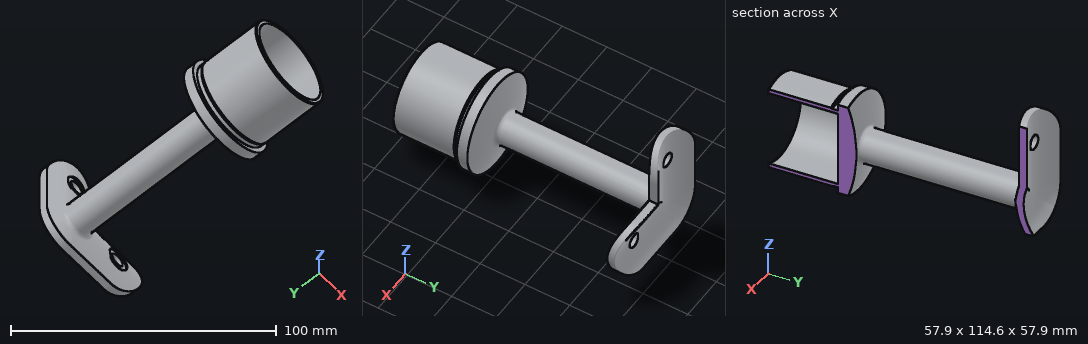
import cadquery as cq
import math

LENGTH = 114.6

STEM_RADIUS = 7.0
STEM_FILLET = 1.7
FLANGE_RADIUS = 21.2
FLANGE_RIM_START = 80.0
FLANGE_RIM_END = 84.7
CROWN_RISE = 3.5
CROWN_BULGE = 0.6
CROWN_FILLET = 1.7
PLUG_RADIUS = 19.1
PLUG_CHAMFER = 0.3
GROOVE_RADIUS = 18.9
GROOVE_END = 86.8
PLUG_START = 87.5
BORE_RADIUS = 17.3
BORE_FLOOR = FLANGE_RIM_END

SELECTION_MARGIN = 0.1

ARM_HALF_WIDTH = 13.2
ARM_REACH = 36.7
ARM_END_CENTER = ARM_REACH - ARM_HALF_WIDTH
HOLE_OFFSET = 23.3
TUBE_RADIUS = FLANGE_RADIUS
SADDLE_THICKNESS = 3.4
BACK_FILLET = 0.3
BACK_MARGIN = 2.3
TUBE_AXIS_Y = math.sqrt(
    (TUBE_RADIUS + BACK_FILLET)**2 - (ARM_HALF_WIDTH - BACK_FILLET)**2
) - BACK_FILLET
SADDLE_RADIUS = TUBE_RADIUS + SADDLE_THICKNESS
SADDLE_CROWN_Y = TUBE_AXIS_Y - SADDLE_RADIUS
HOLE_RADIUS = 3.0
SPOTFACE_RADIUS = 4.9
SPOTFACE_DEPTH = 0.6

ARM_DIRECTIONS = [(1, 0), (0, 1)]


def rod(radius, x, z, y_start, y_end):
    """Cylinder along Y from y_start towards the lower y_end."""
    height = y_start - y_end
    return cq.Workplane(cq.Solid.makeCylinder(
        radius, height, cq.Vector(x, y_start, z), cq.Vector(0, -1, 0)))


def elbow(radius):
    """Two perpendicular round bars joined by a ball at the corner."""
    corner = cq.Vector(0, TUBE_AXIS_Y, 0)
    body = cq.Workplane("XY").sphere(radius).translate(corner.toTuple())
    for x, z in ARM_DIRECTIONS:
        bar = cq.Solid.makeCylinder(radius, 2 * ARM_REACH, corner, cq.Vector(x, 0, z))
        body = body.union(cq.Workplane(bar))
    return body


def saddle_outline():
    """L-shaped prism with round ends, running along Y."""
    outline = rod(ARM_HALF_WIDTH, 0, 0, BACK_MARGIN, -LENGTH)
    for x, z in ARM_DIRECTIONS:
        end_x = x * ARM_END_CENTER
        end_z = z * ARM_END_CENTER
        arm = (
            cq.Workplane("XZ", origin=(0, BACK_MARGIN, 0))
            .center(end_x / 2, end_z / 2)
            .rect(end_x or 2 * ARM_HALF_WIDTH, end_z or 2 * ARM_HALF_WIDTH)
            .extrude(LENGTH + BACK_MARGIN)
        )
        outline = outline.union(arm).union(rod(ARM_HALF_WIDTH, end_x, end_z, BACK_MARGIN, -LENGTH))
    return outline


def cut_screw_holes(body):
    """Screw hole with a shallow spotface near the end of each arm."""
    spotface_y = SADDLE_CROWN_Y + SPOTFACE_DEPTH
    for x, z in ARM_DIRECTIONS:
        hole_x = x * HOLE_OFFSET
        hole_z = z * HOLE_OFFSET
        body = body.cut(rod(HOLE_RADIUS, hole_x, hole_z, BACK_MARGIN, SADDLE_CROWN_Y), clean=False)
        body = body.cut(rod(SPOTFACE_RADIUS, hole_x, hole_z, spotface_y, SADDLE_CROWN_Y), clean=False)
    return body


def edges_around_stem(y_low, y_high):
    """Selector for edges on the stem surface between two Y levels."""
    reach = STEM_RADIUS + SELECTION_MARGIN
    return cq.selectors.BoxSelector(
        (-reach, y_low - SELECTION_MARGIN, -reach),
        (reach, y_high + SELECTION_MARGIN, reach),
        boundingbox=True,
    )


def stem_and_plug():
    """Turned stem, domed flange, groove and hollow plug, revolved about Y."""
    stem_start = SADDLE_CROWN_Y + SADDLE_THICKNESS / 2
    crown_top = FLANGE_RIM_START - CROWN_RISE
    crown_middle = (
        (STEM_RADIUS + FLANGE_RADIUS) / 2,
        -(crown_top + FLANGE_RIM_START) / 2 + CROWN_BULGE,
    )
    return (
        cq.Workplane("XY")
        .moveTo(0, stem_start)
        .lineTo(STEM_RADIUS, stem_start)
        .lineTo(STEM_RADIUS, -crown_top)
        .threePointArc(crown_middle, (FLANGE_RADIUS, -FLANGE_RIM_START))
        .lineTo(FLANGE_RADIUS, -FLANGE_RIM_END)
        .lineTo(GROOVE_RADIUS, -FLANGE_RIM_END)
        .lineTo(GROOVE_RADIUS, -GROOVE_END)
        .lineTo(PLUG_RADIUS, -PLUG_START)
        .lineTo(PLUG_RADIUS, -(LENGTH - PLUG_CHAMFER))
        .lineTo(PLUG_RADIUS - PLUG_CHAMFER, -LENGTH)
        .lineTo(BORE_RADIUS, -LENGTH)
        .lineTo(BORE_RADIUS, -BORE_FLOOR)
        .lineTo(0, -BORE_FLOOR)
        .close()
        .revolve(360, (0, 0, 0), (0, 1, 0))
        .edges(edges_around_stem(-crown_top, -crown_top))
        .fillet(CROWN_FILLET)
    )


def lower_mitre_half():
    """Block filling the side of the 45 degree mitre plane where x > z."""
    size = 3 * LENGTH
    mitre = cq.Plane(origin=(0, 0, 0), xDir=(0, 1, 0), normal=(1, 0, -1))
    return cq.Workplane(mitre).rect(size, size).extrude(size)


def rounded_saddle():
    """Curved L-shaped plate with its back edges rounded over."""
    saddle = saddle_outline().intersect(elbow(SADDLE_RADIUS)).cut(elbow(TUBE_RADIUS))

    half = saddle.intersect(lower_mitre_half())
    lower_back_edge = cq.selectors.NearestToPointSelector((ARM_END_CENTER / 2, 0, -ARM_HALF_WIDTH))
    half = half.edges(lower_back_edge).fillet(BACK_FILLET)
    return half.union(half.mirror(cq.Vector(1, 0, -1)), clean=False)


body = rounded_saddle().union(stem_and_plug(), clean=False)

root_edges = edges_around_stem(SADDLE_CROWN_Y, SADDLE_CROWN_Y + SADDLE_THICKNESS / 2)
body = cq.Workplane(body.solids().val().fillet(STEM_FILLET, body.edges(root_edges).vals()))

result = cut_screw_holes(body)